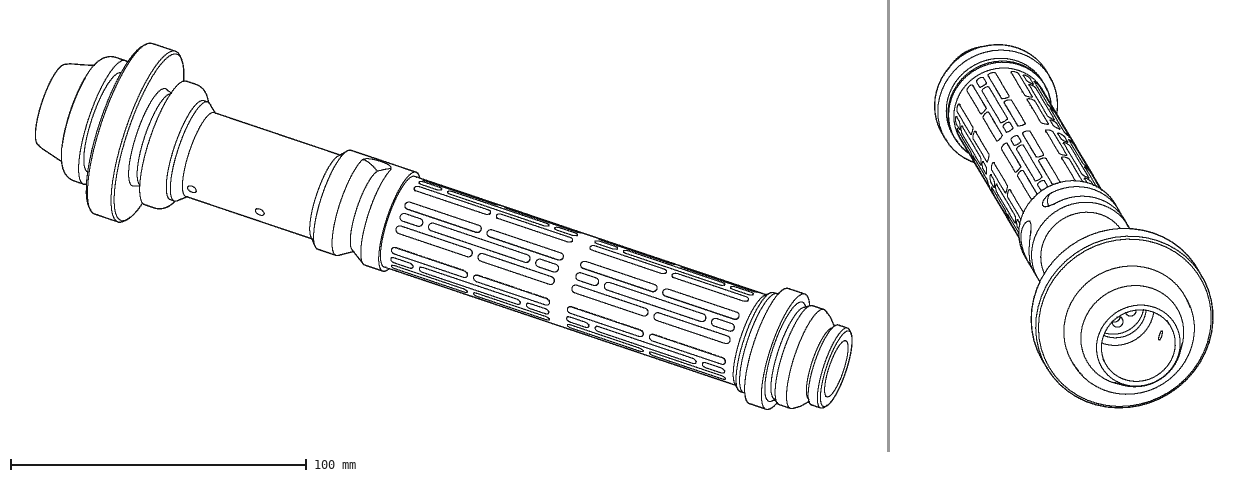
import cadquery as cq
import math


TOTAL_LENGTH = 289.0
EMITTER_END = 49.7
POMMEL_START = 261.0
SHOULDER_RADIUS = 17.7
BODY_BORE_RADIUS = 10.0
CUT_MARGIN = 1.0

TIP_RADIUS = 14.4
TIP_CONE_START = 1.8
TIP_CONE_RADIUS = 15.2
RING_RADIUS = 22.1
RING_FILLET = RING_RADIUS - SHOULDER_RADIUS
RING_FLAT = 3.5
FRONT_RING_START = 11.4
FRONT_RING_END = FRONT_RING_START + RING_FILLET + RING_FLAT
REAR_RING_START = EMITTER_END - RING_FILLET - RING_FLAT
FLANGE_RADIUS = 30.5
FLANGE_START = 25.4
FLANGE_END = 35.7
FLANGE_CHAMFER = 0.8
NECK_RADIUS = 16.4
NECK_EDGE_RADIUS = 17.4
FRONT_NECK_X = 23.1
REAR_NECK_X = 38.4
EMITTER_BORE_RADIUS = 12.7
EMITTER_BORE_DEPTH = 40.0
EMITTER_STEP_DEPTH = 44.0
EMITTER_TURN = 20.5
FLOOR_HOLE_COUNT = 6
FLOOR_HOLE_DIAMETER = 3.7
FLOOR_HOLE_CIRCLE = 5.8
SCREW_HOLE_DIAMETER = 3.2

TUBE_RADIUS = 15.0
JOINT_COLLAR_END = 51.2
JOINT_TAPER_END = 54.5
COLLAR_TAPER_START = 101.4
COLLAR_START = 104.0
COLLAR_END = 128.0
GRIP_RADIUS = 16.2
GRIP_END = 258.0
END_COLLAR_START = 259.7
TUBE_HOLE_POSITIONS = (58.0, 83.0)

GROOVE_X = 116.1
GROOVE_HALF_WIDTH = 5.3
GROOVE_ROOT_RADIUS = 14.4
GROOVE_END_BASE_RADIUS = 2.4
GROOVE_HALF_SPAN = 115.0
BUTTON_RADIUS = 7.7
BUTTON_DEPTH = 3.5

SLOT_RADIUS = 1.35
SLOT_ROW_SPACING = 4.4
PANEL_COUNT = 6
PANEL_STARTS = (131.8, 196.6)
PANEL_LENGTH = 58.2
SLOT_GAP = 2.3
SHORT_SLOT_LENGTH = 8.2

POMMEL_FLANGE_START = 264.1
POMMEL_FLANGE_END = 270.3
POMMEL_FLANGE_RADIUS = 20.6
POMMEL_NECK_X = 272.0
POMMEL_NECK_RADIUS = 16.4
POMMEL_BARREL_START = 274.1
POMMEL_DOME_START = 278.3
POMMEL_DOME_END = 283.5
POMMEL_DOME_BULGE = 0.5
POMMEL_WAIST_RADIUS = 12.8
CAP_START = 284.8
CAP_RADIUS = 14.3
CAP_CHAMFER = 0.8


def revolve_about_x(profile):
    """Turn a closed (x, radius) outline into a solid of revolution about X."""
    return profile.close().revolve(360, (0, 0, 0), (1, 0, 0))


def cylinder_along_x(start, end, radius):
    return cq.Workplane("YZ", origin=(start, 0, 0)).circle(radius).extrude(end - start)


def radial_hole(x, diameter, bottom_radius, top_radius):
    """Cutter pointing out along -Y from bottom_radius to top_radius."""
    plane = cq.Workplane("XZ", origin=(x, -bottom_radius, 0))
    return plane.circle(diameter / 2).extrude(top_radius - bottom_radius)


def make_emitter():
    arc = RING_FILLET * math.sqrt(0.5)
    front_arc_x = FRONT_RING_START + RING_FILLET
    rear_arc_x = EMITTER_END - RING_FILLET
    profile = (
        cq.Workplane("XY")
        .moveTo(0, 0)
        .lineTo(0, TIP_RADIUS)
        .lineTo(TIP_CONE_START, TIP_CONE_RADIUS)
        .lineTo(FRONT_RING_START, SHOULDER_RADIUS)
        .threePointArc((front_arc_x - arc, SHOULDER_RADIUS + arc), (front_arc_x, RING_RADIUS))
        .lineTo(FRONT_RING_END, RING_RADIUS)
        .lineTo(FRONT_RING_END, SHOULDER_RADIUS)
        .lineTo(FRONT_NECK_X, NECK_RADIUS)
        .lineTo(FLANGE_START, NECK_EDGE_RADIUS)
        .lineTo(FLANGE_START, FLANGE_RADIUS - FLANGE_CHAMFER)
        .lineTo(FLANGE_START + FLANGE_CHAMFER, FLANGE_RADIUS)
        .lineTo(FLANGE_END - FLANGE_CHAMFER, FLANGE_RADIUS)
        .lineTo(FLANGE_END, FLANGE_RADIUS - FLANGE_CHAMFER)
        .lineTo(FLANGE_END, NECK_EDGE_RADIUS)
        .lineTo(REAR_NECK_X, NECK_RADIUS)
        .lineTo(REAR_RING_START, SHOULDER_RADIUS)
        .lineTo(REAR_RING_START, RING_RADIUS)
        .lineTo(rear_arc_x, RING_RADIUS)
        .threePointArc((rear_arc_x + arc, SHOULDER_RADIUS + arc), (EMITTER_END, SHOULDER_RADIUS))
        .lineTo(EMITTER_END, 0)
    )
    emitter = revolve_about_x(profile)
    emitter = emitter.cut(cylinder_along_x(0, EMITTER_BORE_DEPTH, EMITTER_BORE_RADIUS))
    emitter = emitter.cut(cylinder_along_x(EMITTER_BORE_DEPTH, EMITTER_STEP_DEPTH, BODY_BORE_RADIUS))

    floor_holes = (
        cq.Workplane("YZ", origin=(EMITTER_STEP_DEPTH, 0, 0))
        .polarArray(FLOOR_HOLE_CIRCLE, 0, 360, FLOOR_HOLE_COUNT)
        .circle(FLOOR_HOLE_DIAMETER / 2)
        .extrude(EMITTER_END - EMITTER_STEP_DEPTH)
    )
    emitter = emitter.cut(floor_holes)

    screw_hole_start = EMITTER_BORE_RADIUS - CUT_MARGIN
    screw_hole_end = SHOULDER_RADIUS + CUT_MARGIN
    emitter = emitter.cut(
        radial_hole(FRONT_NECK_X, SCREW_HOLE_DIAMETER, screw_hole_start, screw_hole_end)
    )
    return emitter.rotate((0, 0, 0), (1, 0, 0), EMITTER_TURN)


def make_groove_ring(span):
    """V groove cutter that reaches the given angle, centred on -Y."""
    shoulder_depth = SHOULDER_RADIUS - GROOVE_ROOT_RADIUS
    mouth_radius = SHOULDER_RADIUS + CUT_MARGIN
    mouth_half_width = GROOVE_HALF_WIDTH * (mouth_radius - GROOVE_ROOT_RADIUS) / shoulder_depth
    return (
        cq.Workplane("XY")
        .moveTo(GROOVE_X, -GROOVE_ROOT_RADIUS)
        .lineTo(GROOVE_X - mouth_half_width, -mouth_radius)
        .lineTo(GROOVE_X + mouth_half_width, -mouth_radius)
        .close()
        .revolve(span, (0, 0, 0), (1, 0, 0))
        .rotate((0, 0, 0), (1, 0, 0), -span / 2)
    )


def make_groove_cutter():
    """V groove whose two ends are rounded off with tapered walls."""
    base_radius = GROOVE_ROOT_RADIUS - CUT_MARGIN
    widening = (GROOVE_HALF_WIDTH - GROOVE_END_BASE_RADIUS) / (SHOULDER_RADIUS - base_radius)
    cone_height = SHOULDER_RADIUS + CUT_MARGIN - base_radius
    end_cone = cq.Workplane(
        cq.Solid.makeCone(
            GROOVE_END_BASE_RADIUS,
            GROOVE_END_BASE_RADIUS + widening * cone_height,
            cone_height,
            cq.Vector(GROOVE_X, -base_radius, 0),
            cq.Vector(0, -1, 0),
        )
    )
    end_piece = end_cone.intersect(make_groove_ring(180))
    groove = make_groove_ring(2 * GROOVE_HALF_SPAN)
    for angle in (-GROOVE_HALF_SPAN, GROOVE_HALF_SPAN):
        groove = groove.union(end_piece.rotate((0, 0, 0), (1, 0, 0), angle))
    return groove


def make_slot(start, end, offset):
    """Ball-ended slot cutter along X in the surface on the -Y side, offset in Z."""
    surface_y = -math.sqrt(GRIP_RADIUS**2 - offset**2)
    arc = SLOT_RADIUS * math.sqrt(0.5)
    return (
        cq.Workplane("XY", origin=(0, surface_y, offset))
        .moveTo(start, 0)
        .threePointArc((start + SLOT_RADIUS - arc, arc), (start + SLOT_RADIUS, SLOT_RADIUS))
        .lineTo(end - SLOT_RADIUS, SLOT_RADIUS)
        .threePointArc((end - SLOT_RADIUS + arc, arc), (end, 0))
        .close()
        .revolve(360, (0, 0, 0), (1, 0, 0))
        .val()
    )


def make_panel(start):
    """Slots of one grip panel: two outer rows cut in half, a middle row in three."""
    end = start + PANEL_LENGTH
    middle = (start + end) / 2
    half_gap = SLOT_GAP / 2
    slots = []
    for offset in (-SLOT_ROW_SPACING, SLOT_ROW_SPACING):
        slots.append(make_slot(start, middle - half_gap, offset))
        slots.append(make_slot(middle + half_gap, end, offset))
    long_start = start + SHORT_SLOT_LENGTH + SLOT_GAP
    long_end = end - SHORT_SLOT_LENGTH - SLOT_GAP
    slots.append(make_slot(start, start + SHORT_SLOT_LENGTH, 0))
    slots.append(make_slot(long_start, long_end, 0))
    slots.append(make_slot(end - SHORT_SLOT_LENGTH, end, 0))
    return slots


def make_body():
    profile = (
        cq.Workplane("XY")
        .moveTo(EMITTER_END, BODY_BORE_RADIUS)
        .lineTo(EMITTER_END, SHOULDER_RADIUS)
        .lineTo(JOINT_COLLAR_END, SHOULDER_RADIUS)
        .lineTo(JOINT_TAPER_END, TUBE_RADIUS)
        .lineTo(COLLAR_TAPER_START, TUBE_RADIUS)
        .lineTo(COLLAR_START, SHOULDER_RADIUS)
        .lineTo(COLLAR_END, SHOULDER_RADIUS)
        .lineTo(COLLAR_END, GRIP_RADIUS)
        .lineTo(GRIP_END, GRIP_RADIUS)
        .lineTo(END_COLLAR_START, SHOULDER_RADIUS)
        .lineTo(POMMEL_START, SHOULDER_RADIUS)
        .lineTo(POMMEL_START, BODY_BORE_RADIUS)
    )
    body = revolve_about_x(profile)

    for x in TUBE_HOLE_POSITIONS:
        hole = radial_hole(
            x, SCREW_HOLE_DIAMETER, BODY_BORE_RADIUS - CUT_MARGIN, TUBE_RADIUS + CUT_MARGIN
        )
        body = body.cut(hole)

    body = body.cut(make_groove_cutter())
    button_recess = (
        cq.Workplane("XZ", origin=(GROOVE_X, SHOULDER_RADIUS + CUT_MARGIN, 0))
        .circle(BUTTON_RADIUS)
        .extrude(BUTTON_DEPTH + CUT_MARGIN)
    )
    body = body.cut(button_recess)

    cutters = []
    for start in PANEL_STARTS:
        panel = make_panel(start)
        for index in range(PANEL_COUNT):
            angle = index * 360 / PANEL_COUNT
            cutters += [slot.rotate(cq.Vector(0, 0, 0), cq.Vector(1, 0, 0), angle) for slot in panel]
    return cq.Workplane(body.val().cut(*cutters).Solids()[0])


def make_pommel():
    dome_length = POMMEL_DOME_END - POMMEL_DOME_START
    dome_drop = SHOULDER_RADIUS - POMMEL_WAIST_RADIUS
    dome_slant = math.hypot(dome_length, dome_drop)
    dome_middle = (
        POMMEL_DOME_START + dome_length / 2 + POMMEL_DOME_BULGE * dome_drop / dome_slant,
        SHOULDER_RADIUS - dome_drop / 2 + POMMEL_DOME_BULGE * dome_length / dome_slant,
    )
    profile = (
        cq.Workplane("XY")
        .moveTo(POMMEL_START, BODY_BORE_RADIUS)
        .lineTo(POMMEL_START, SHOULDER_RADIUS)
        .lineTo(POMMEL_FLANGE_START, SHOULDER_RADIUS)
        .lineTo(POMMEL_FLANGE_START, POMMEL_FLANGE_RADIUS)
        .lineTo(POMMEL_FLANGE_END, POMMEL_FLANGE_RADIUS)
        .lineTo(POMMEL_FLANGE_END, SHOULDER_RADIUS)
        .lineTo(POMMEL_NECK_X, POMMEL_NECK_RADIUS)
        .lineTo(POMMEL_BARREL_START, SHOULDER_RADIUS)
        .lineTo(POMMEL_DOME_START, SHOULDER_RADIUS)
        .threePointArc(dome_middle, (POMMEL_DOME_END, POMMEL_WAIST_RADIUS))
        .lineTo(CAP_START, POMMEL_WAIST_RADIUS)
        .lineTo(CAP_START, CAP_RADIUS)
        .lineTo(TOTAL_LENGTH - CAP_CHAMFER, CAP_RADIUS)
        .lineTo(TOTAL_LENGTH, CAP_RADIUS - CAP_CHAMFER)
        .lineTo(TOTAL_LENGTH, BODY_BORE_RADIUS)
    )
    return revolve_about_x(profile)


emitter = make_emitter()
body = make_body()
pommel = make_pommel()

result = cq.Compound.makeCompound([emitter.val(), body.val(), pommel.val()])